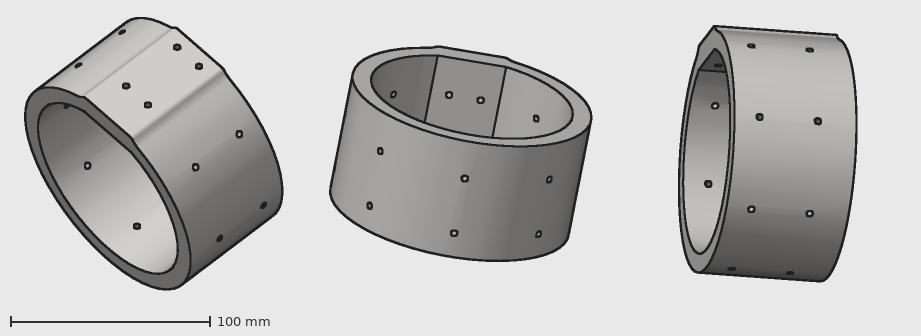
import cadquery as cq
import math

outer_radius = 61.0
inner_radius = 51.5
width = 63.0

pad_top = outer_radius
pad_half_width = 16.0
pad_underside = 48.4
pad_edge_radius = 3.0
pad_blend_radius = 10.0

hole_diameter = 3.2
front_hole_y = 20.0
radial_hole_spacing = 30.0
pad_hole_spacing_y = 35.0
pad_hole_half_spacing_x = 8.0
radial_hole_angles = [0, 45, 135, 180, 225, 270, 315]


def polar(center, radius, angle):
    """Point on a circle in the XZ plane; the angle is in radians from +X."""
    return (center[0] + radius * math.cos(angle), center[1] + radius * math.sin(angle))


def mirrored(point):
    return (-point[0], point[1])


def make_outer_body():
    """Outer cylinder whose pad edges roll over and blend smoothly into it."""
    edge_center = (pad_half_width, pad_top - pad_edge_radius)

    blend_distance = outer_radius + pad_blend_radius
    edge_distance = math.hypot(*edge_center)
    edge_to_blend = pad_edge_radius + pad_blend_radius
    cosine = (blend_distance**2 + edge_distance**2 - edge_to_blend**2) / (2 * blend_distance * edge_distance)
    blend_angle = math.atan2(edge_center[1], edge_center[0]) - math.acos(cosine)
    blend_center = polar((0, 0), blend_distance, blend_angle)
    contact_angle = math.atan2(blend_center[1] - edge_center[1], blend_center[0] - edge_center[0])

    flat_end = (pad_half_width, pad_top)
    edge_middle = polar(edge_center, pad_edge_radius, (math.pi / 2 + contact_angle) / 2)
    edge_end = polar(edge_center, pad_edge_radius, contact_angle)
    blend_middle = polar(blend_center, pad_blend_radius, math.pi + (contact_angle + blend_angle) / 2)
    blend_end = polar((0, 0), outer_radius, blend_angle)

    return (
        cq.Workplane("XZ")
        .moveTo(*mirrored(flat_end))
        .lineTo(*flat_end)
        .threePointArc(edge_middle, edge_end)
        .threePointArc(blend_middle, blend_end)
        .threePointArc((0, -outer_radius), mirrored(blend_end))
        .threePointArc(mirrored(blend_middle), mirrored(edge_end))
        .threePointArc(mirrored(edge_middle), mirrored(flat_end))
        .close()
        .extrude(-width)
    )


def make_bore():
    """Round bore with a flat roof below the pad."""
    roof_half_width = math.sqrt(inner_radius**2 - pad_underside**2)
    return (
        cq.Workplane("XZ")
        .moveTo(-roof_half_width, pad_underside)
        .lineTo(roof_half_width, pad_underside)
        .threePointArc((0, -inner_radius), (-roof_half_width, pad_underside))
        .close()
        .extrude(-width)
    )


def make_radial_holes():
    """Pairs of holes through the wall, pointing at the ring axis."""
    drill = (
        cq.Workplane("YZ")
        .pushPoints([(front_hole_y, 0), (front_hole_y + radial_hole_spacing, 0)])
        .circle(hole_diameter / 2)
        .extrude(outer_radius)
    )
    drills = cq.Workplane("XY")
    for angle in radial_hole_angles:
        drills = drills.add(drill.rotate((0, 0, 0), (0, 1, 0), -angle))
    return drills.combine()


def make_pad_holes():
    """Four vertical holes through the pad."""
    return (
        cq.Workplane("XY")
        .pushPoints([
            (x, y)
            for x in (-pad_hole_half_spacing_x, pad_hole_half_spacing_x)
            for y in (front_hole_y, front_hole_y + pad_hole_spacing_y)
        ])
        .circle(hole_diameter / 2)
        .extrude(pad_top)
    )


result = make_outer_body().cut(make_bore()).cut(make_radial_holes()).cut(make_pad_holes())